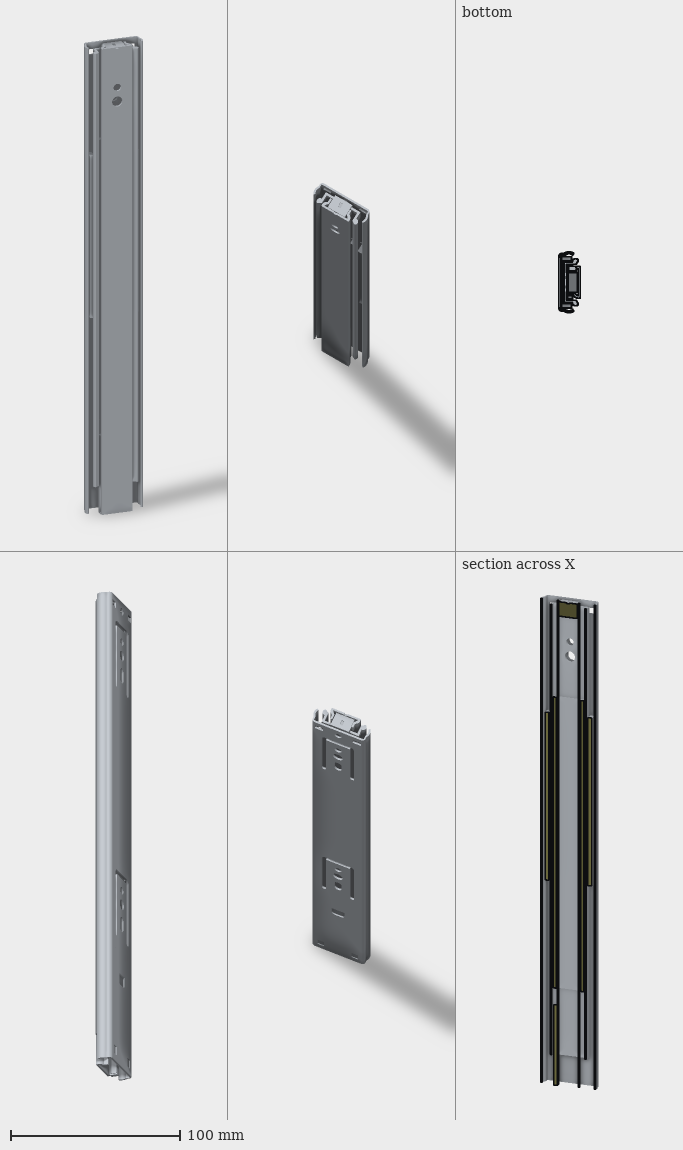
import cadquery as cq
import math


THICKNESS = 12.7
OVERALL_WIDTH = 35.98
OVERALL_LENGTH = 300.0
SHEET = 1.2
BACK_X = -THICKNESS / 2
FRONT_X = THICKNESS / 2
TOP_Z = OVERALL_LENGTH / 2
LEVER_OVERHANG = 0.75
RAIL_BOTTOM_Z = -OVERALL_LENGTH / 2 + LEVER_OVERHANG

OUTER_CREST_Y = OVERALL_WIDTH / 2
OUTER_SIDE_Y = OUTER_CREST_Y - 1.0
OUTER_FLAT_Y = 14.9
OUTER_CORNER_X = -5.0
OUTER_RACE_X = -0.3
OUTER_RACE_HALF = 2.9
OUTER_INNER_X = BACK_X + SHEET

MIDDLE_SHEET = 1.4
MIDDLE_BACK_X = -3.1
MIDDLE_INNER_X = MIDDLE_BACK_X + MIDDLE_SHEET
MIDDLE_SIDE_Y = 11.9
MIDDLE_LIP_START_X = 1.6
MIDDLE_LIP_CREST_X = 3.5
MIDDLE_LIP_CREST_Y = 14.0
MIDDLE_TIP_X = 5.3
MIDDLE_TIP_Y = 12.9
MIDDLE_TOP_Z = 147.0
MIDDLE_BOTTOM_Z = -131.4

INNER_EDGE_Y = 9.3
INNER_NECK_Y = 7.4
INNER_NECK_X = 2.2
INNER_BEND_X = 3.9
INNER_BEND_Y = 9.2
INNER_TIP_X = -0.5
INNER_NOTCH_WIDTH = 2.0
INNER_NOTCH_DEPTH = 1.0

GROUP_TOPS_Z = (134.6, -25.4)
TONGUE_SLOT_WIDTH = 2.7
TONGUE_SLOT_OUTER_Y = 10.4
TONGUE_SLOT_LENGTH = 42.5
TONGUE_SLOT_CORNER = 2.8
TONGUE_SLOT_END_RADIUS = 1.2
SMALL_HOLE_DIAMETER = 4.6
SMALL_HOLE_DROP = 10.4
LARGE_HOLE_DIAMETER = 6.4
LARGE_HOLE_DROP = 19.4
SLOT_HOLE_LENGTH = 9.5
SLOT_HOLE_DROP = 32.1

END_HOLE_Z = 143.6
END_WINDOW_INNER_Y = 9.5
END_WINDOW_TOP_Z = 145.9
END_WINDOW_HEIGHT = 3.6
DIMPLE_Y = 10.9
DIMPLE_Z = -142.3
DIMPLE_WIDTH = 4.2
DIMPLE_HEIGHT = 5.4
DIMPLE_DEPTH = 0.5
LUG_WIDTH = 8.2
LUG_TOP_Z = -90.0
LUG_HEIGHT = 7.2
LUG_DEPTH = 0.9
LUG_RAMP = 1.0
LUG_CORNER = 2.0

CAGE_WEB = 0.5
OUTER_CAGE_BACK_X = -4.6
OUTER_CAGE_FRONT_X = 1.3
OUTER_CAGE_SIDE_Y = 15.2
OUTER_CAGE_STRIP = 2.7
OUTER_CAGE_BOTTOM_Z = -24.0
OUTER_CAGE_TOP_Z = 80.0
INNER_CAGE_BACK_X = -1.3
INNER_CAGE_FRONT_X = 1.8
INNER_CAGE_SIDE_Y = 10.0
INNER_CAGE_STRIP = 2.2
INNER_CAGE_BOTTOM_Z = -90.0
INNER_CAGE_TOP_Z = 90.0

BUMPER_WIDTH = 11.8
BUMPER_BACK_X = -3.8
BUMPER_FRONT_X = 4.8
BUMPER_TOP_Z = 149.2
BUMPER_BOTTOM_Z = 140.0
BUMPER_POCKET_SIZE_X = 3.0
BUMPER_POCKET_SIZE_Y = 1.8
BUMPER_POCKET_DEPTH = 0.5

LEVER_BACK_X = -0.5
LEVER_OUTER_Y = 9.5
LEVER_TOP_Z = -100.0
LEVER_FOOT_FRONT_X = 3.9
LEVER_FOOT_INNER_Y = 6.8


def extrude_between(profile, bottom_z, top_z):
    return profile.extrude(top_z - bottom_z).translate((0, 0, bottom_z))


def mirrored_about_y(half):
    return half.union(half.mirror("XZ"))


def box_between(x_range, y_range, z_range):
    size = [end - start for start, end in (x_range, y_range, z_range)]
    corner = (x_range[0], y_range[0], z_range[0])
    return cq.Workplane("XY").box(*size, centered=False).translate(corner)


def across_thickness(z):
    """Sketch plane on the back face: local x is Y, local y is Z, extruding toward +X."""
    return cq.Workplane("YZ", origin=(BACK_X, 0, z))


def tongue_slot(top_z):
    """U-shaped slot around a tongue, with its legs rounded at the lower ends."""
    bar_width = 2 * TONGUE_SLOT_OUTER_Y
    slot = (
        across_thickness(top_z - TONGUE_SLOT_LENGTH / 2)
        .rect(bar_width, TONGUE_SLOT_LENGTH)
        .extrude(SHEET)
        .edges("|X and >Z")
        .fillet(TONGUE_SLOT_CORNER)
    )
    tongue = (
        across_thickness(top_z - TONGUE_SLOT_WIDTH - TONGUE_SLOT_LENGTH / 2)
        .rect(bar_width - 2 * TONGUE_SLOT_WIDTH, TONGUE_SLOT_LENGTH)
        .extrude(SHEET)
    )
    slot = slot.cut(tongue)
    return slot.edges("|X and <Z").fillet(TONGUE_SLOT_END_RADIUS)


def round_holes(top_z, depth):
    """The small and the large round hole of a mounting group, starting at the back face."""
    small = across_thickness(top_z - SMALL_HOLE_DROP).circle(SMALL_HOLE_DIAMETER / 2).extrude(depth)
    large = across_thickness(top_z - LARGE_HOLE_DROP).circle(LARGE_HOLE_DIAMETER / 2).extrude(depth)
    return small.union(large)


def mounting_group(top_z):
    slot_hole = (
        across_thickness(top_z - SLOT_HOLE_DROP)
        .slot2D(SLOT_HOLE_LENGTH, SMALL_HOLE_DIAMETER, 90)
        .extrude(SHEET)
    )
    return tongue_slot(top_z).union(slot_hole).union(round_holes(top_z, SHEET))


def screw_holes():
    """The round holes of the upper group, which pass through all three rails."""
    return round_holes(GROUP_TOPS_Z[0], THICKNESS)


def lug_block(start_x):
    """Stop lug pressed inward, one press depth deep, with a ramp at its upper end."""
    bottom_z = LUG_TOP_Z - LUG_HEIGHT
    end_x = start_x + LUG_DEPTH
    return (
        cq.Workplane("XZ")
        .moveTo(start_x, bottom_z)
        .lineTo(start_x, LUG_TOP_Z)
        .lineTo(end_x, LUG_TOP_Z - LUG_RAMP)
        .lineTo(end_x, bottom_z)
        .close()
        .extrude(LUG_WIDTH / 2, both=True)
        .edges("|X and <Z")
        .fillet(LUG_CORNER)
    )


def outer_profile():
    """Half section (+Y side) of the outer rail, its flange bulging into an arched ball race."""
    race_rise = OUTER_CREST_Y - OUTER_SIDE_Y
    race_radius = (OUTER_RACE_HALF**2 + race_rise**2) / (2 * race_rise)
    race_center_y = OUTER_CREST_Y - race_radius
    half_angle = math.asin(OUTER_RACE_HALF / race_radius)
    inner_radius = race_radius - SHEET
    inner_half = inner_radius * math.sin(half_angle)
    inner_y = race_center_y + inner_radius * math.cos(half_angle)
    return (
        cq.Workplane("XY")
        .moveTo(BACK_X, 0)
        .lineTo(BACK_X, OUTER_FLAT_Y)
        .tangentArcPoint((OUTER_CORNER_X, OUTER_SIDE_Y), relative=False)
        .lineTo(OUTER_RACE_X - OUTER_RACE_HALF, OUTER_SIDE_Y)
        .threePointArc((OUTER_RACE_X, OUTER_CREST_Y), (OUTER_RACE_X + OUTER_RACE_HALF, OUTER_SIDE_Y))
        .lineTo(OUTER_RACE_X + inner_half, inner_y)
        .threePointArc((OUTER_RACE_X, OUTER_CREST_Y - SHEET), (OUTER_RACE_X - inner_half, inner_y))
        .lineTo(OUTER_CORNER_X, inner_y)
        .lineTo(OUTER_INNER_X, OUTER_FLAT_Y)
        .lineTo(OUTER_INNER_X, 0)
        .close()
    )


def build_outer_rail():
    rail = mirrored_about_y(extrude_between(outer_profile(), RAIL_BOTTOM_Z, TOP_Z))
    for top_z in GROUP_TOPS_Z:
        rail = rail.cut(mounting_group(top_z))
    rail = rail.cut(across_thickness(END_HOLE_Z).circle(SMALL_HOLE_DIAMETER / 2).extrude(SHEET))
    window = box_between(
        (BACK_X, OUTER_INNER_X),
        (END_WINDOW_INNER_Y, OUTER_FLAT_Y),
        (END_WINDOW_TOP_Z - END_WINDOW_HEIGHT, END_WINDOW_TOP_Z),
    )
    rail = rail.cut(mirrored_about_y(window))
    dimples = (
        across_thickness(DIMPLE_Z)
        .pushPoints([(DIMPLE_Y, 0), (-DIMPLE_Y, 0)])
        .rect(DIMPLE_WIDTH, DIMPLE_HEIGHT)
        .extrude(DIMPLE_DEPTH)
    )
    return rail.cut(dimples).union(lug_block(OUTER_INNER_X)).cut(lug_block(BACK_X))


def build_middle_rail():
    inner_y = MIDDLE_SIDE_Y - MIDDLE_SHEET
    lip_crest = (MIDDLE_LIP_CREST_X, MIDDLE_LIP_CREST_Y)
    profile = (
        cq.Workplane("XY")
        .moveTo(MIDDLE_BACK_X, 0)
        .lineTo(MIDDLE_BACK_X, MIDDLE_SIDE_Y)
        .lineTo(MIDDLE_LIP_START_X, MIDDLE_SIDE_Y)
        .threePointArc(lip_crest, (MIDDLE_TIP_X, MIDDLE_TIP_Y))
        .lineTo(MIDDLE_TIP_X - MIDDLE_SHEET, inner_y)
        .lineTo(MIDDLE_INNER_X, inner_y)
        .lineTo(MIDDLE_INNER_X, 0)
        .close()
    )
    rail = mirrored_about_y(extrude_between(profile, MIDDLE_BOTTOM_Z, MIDDLE_TOP_Z))
    return rail.cut(screw_holes())


def build_inner_rail():
    web_x = FRONT_X - SHEET
    inner_neck_y = INNER_NECK_Y - SHEET
    profile = (
        cq.Workplane("XY")
        .moveTo(FRONT_X, 0)
        .lineTo(FRONT_X, INNER_EDGE_Y)
        .threePointArc((INNER_BEND_X, INNER_BEND_Y), (INNER_NECK_X, INNER_NECK_Y))
        .lineTo(INNER_TIP_X, INNER_NECK_Y)
        .lineTo(INNER_TIP_X, inner_neck_y)
        .lineTo(INNER_NECK_X + SHEET / 2, inner_neck_y)
        .lineTo(web_x, INNER_EDGE_Y - SHEET)
        .lineTo(web_x, 0)
        .close()
    )
    rail = mirrored_about_y(extrude_between(profile, RAIL_BOTTOM_Z, TOP_Z))
    notch = box_between(
        (web_x, FRONT_X),
        (-INNER_NOTCH_WIDTH / 2, INNER_NOTCH_WIDTH / 2),
        (TOP_Z - INNER_NOTCH_DEPTH, TOP_Z),
    )
    return rail.cut(screw_holes()).cut(notch)


def build_cage(x_range, side_y, strip, z_range):
    """U-shaped retainer whose two side strips lie in the ball races, joined by a flat web."""
    back_x, front_x = x_range
    outside = box_between((back_x, front_x), (-side_y, side_y), z_range)
    inside_y = side_y - strip
    inside = box_between((back_x + CAGE_WEB, front_x), (-inside_y, inside_y), z_range)
    return outside.cut(inside)


def build_bumper():
    """Stop block inside the middle rail, with a cap over the end of the middle rail web."""
    half_width = BUMPER_WIDTH / 2
    y_range = (-half_width, half_width)
    block = box_between((MIDDLE_INNER_X, BUMPER_FRONT_X), y_range, (BUMPER_BOTTOM_Z, BUMPER_TOP_Z))
    cap = box_between((BUMPER_BACK_X, MIDDLE_INNER_X), y_range, (MIDDLE_TOP_Z, BUMPER_TOP_Z))
    pocket = (
        cq.Workplane("XY", origin=(0, 0, BUMPER_TOP_Z))
        .rect(BUMPER_POCKET_SIZE_X, BUMPER_POCKET_SIZE_Y)
        .extrude(-BUMPER_POCKET_DEPTH)
    )
    return block.union(cap).cut(pocket)


def build_release_lever():
    """Bar along the -Y neck of the inner rail, with a wider foot under the rail end."""
    bar = box_between(
        (LEVER_BACK_X, INNER_NECK_X),
        (-LEVER_OUTER_Y, -INNER_NECK_Y),
        (RAIL_BOTTOM_Z, LEVER_TOP_Z),
    )
    foot = box_between(
        (LEVER_BACK_X, LEVER_FOOT_FRONT_X),
        (-LEVER_OUTER_Y, -LEVER_FOOT_INNER_Y),
        (-OVERALL_LENGTH / 2, RAIL_BOTTOM_Z),
    )
    return bar.union(foot)


outer_rail = build_outer_rail()
middle_rail = build_middle_rail()
inner_rail = build_inner_rail()
outer_cage = build_cage(
    (OUTER_CAGE_BACK_X, OUTER_CAGE_FRONT_X),
    OUTER_CAGE_SIDE_Y,
    OUTER_CAGE_STRIP,
    (OUTER_CAGE_BOTTOM_Z, OUTER_CAGE_TOP_Z),
)
inner_cage = build_cage(
    (INNER_CAGE_BACK_X, INNER_CAGE_FRONT_X),
    INNER_CAGE_SIDE_Y,
    INNER_CAGE_STRIP,
    (INNER_CAGE_BOTTOM_Z, INNER_CAGE_TOP_Z),
)
bumper = build_bumper()
release_lever = build_release_lever()

result = cq.Compound.makeCompound(
    [
        outer_rail.val(),
        middle_rail.val(),
        inner_rail.val(),
        outer_cage.val(),
        inner_cage.val(),
        bumper.val(),
        release_lever.val(),
    ]
)